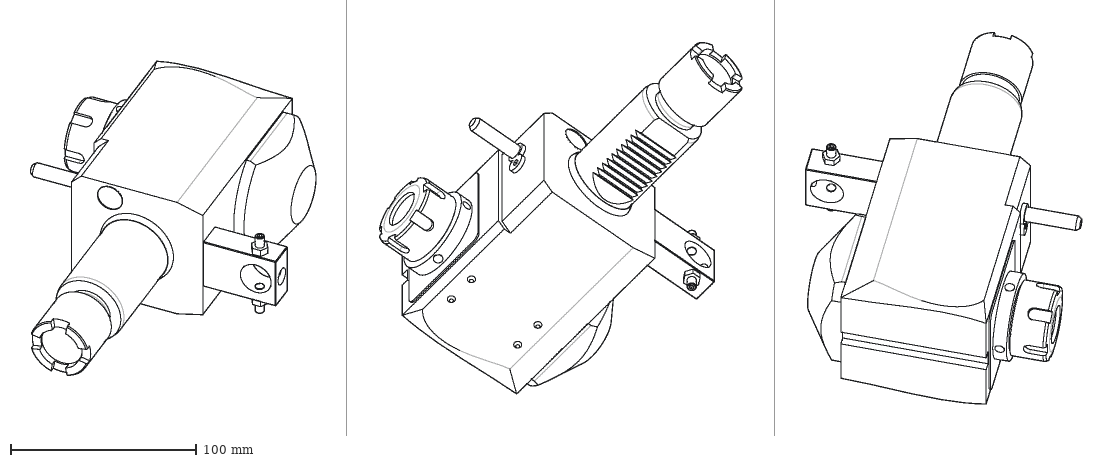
import cadquery as cq
import math


HALF_HEIGHT = 37.5
LENGTH = 116.0
RIGHT_X = 39.0
REAR_LEFT_X = -41.5
FRONT_LEFT_X = -38.8
STEP_Y = 35.2
REAR_CHAMFER = 4.1
FRONT_CHAMFER = 5.9
BEVEL_RUN = 15.2
BEVEL_DROP = 4.1

CROWN_RUN = 12.4
CROWN_SHAPE = ((-8.5, 2.8), (-24.5, 2.5))

REAR_SLOT_WIDTH = 9.8
REAR_SLOT_DEPTH = 4.3
MARK_X = -16.0
MARK_Z = 28.0
MARK_RADIUS = 7.4
MARK_DEPTH = 0.7

SPINDLE_Y = 80.3
PLATE_X = -42.3
PLATE_LENGTH = 58.0
PLATE_HEIGHT = 63.0
PLATE_CORNER = 4.3
RING_RADIUS = 24.0
RING_X = -50.0
NUT_BACK_X = -51.0
NUT_RADIUS = 20.8
NUT_FACE_X = -71.6
NUT_FACE_RADIUS = 15.0
NUT_CONE_RADIUS = 20.2
NUT_CONE_DEPTH = 0.9
NUT_CHAMFER_DEPTH = 2.4
NECK_RADIUS = 18.5
BORE_RADIUS = 10.5
BORE_DEPTH = 2.2
NUT_SLOT_COUNT = 6
NUT_SLOT_WIDTH = 6.5
NUT_SLOT_FLOOR = 17.8
NUT_SLOT_END_X = -58.5
RING_DIMPLE_COUNT = 4
RING_DIMPLE_RADIUS = 2.5

CAP_RADIUS = 40.1
CAP_CONE_X = 45.1
CAP_END_X = 62.0
CAP_END_RADIUS = 16.3
CAP_HALF_HEIGHT = 32.3
CAP_REAR_Y = 112.0
CAP_SLOPE_X = 41.5
CAP_SLOPE = 0.22

COLLAR_RADIUS = 21.7
COLLAR_MIDDLE_RADIUS = 21.3
COLLAR_END_RADIUS = 20.2
COLLAR_LENGTH = 3.7
SHANK_RADIUS = 20.0
SHANK_LENGTH = 63.0
SHANK_CHAMFER_LENGTH = 2.5
SHANK_CHAMFER = 0.7
COUPLING_NECK_RADIUS = 13.0
FLARE_START = 65.0
FLARE_END = 71.0
FLARE_RADIUS = 16.0
COUPLING_RADIUS = 17.4
COUPLING_END = 101.0
COUPLING_CHAMFER = 0.7
SOCKET_RADIUS = 12.2
SOCKET_DEPTH = 4.3
DRIVE_SLOT_DEPTH = 3.3
DRIVE_SLOT_COUNT = 4
DRIVE_SLOT_OUTER_WIDTH = 10.0
DRIVE_SLOT_INNER_WIDTH = 8.0

RACK_Z = -16.3
RACK_ROOT_Z = -14.0
RACK_FIRST_Y = -11.5
RACK_RAMP_Y = -5.0
RACK_LENGTH = 36.0
RACK_GROOVE_COUNT = 10
RACK_GROOVE_HALF_WIDTH = 1.63

ARM_END_X = 82.0
ARM_HALF_HEIGHT = 15.0
ARM_Y = 0.9
ARM_THICKNESS = 15.5
ARM_CHAMFER = 0.5
ARM_HOLE_X = 70.0
ARM_HOLE_RADIUS = 9.1
ARM_END_HOLE_RADIUS = 4.8
ARM_BOLT_Y = 6.0
ARM_BOLT_DIAMETER = 5.0
ARM_BOLT_START_Z = 8.5
ARM_BOLT_END_Z = 25.4
ARM_BOLT_CHAMFER = 0.5
ARM_NUT_CORNERS = 9.5
ARM_NUT_HEIGHT = 4.0
ARM_BOLT_SOCKET = 2.5
ARM_BOLT_SOCKET_DEPTH = 1.7

PIN_Y = 21.0
PIN_Z = 16.0
PIN_DIAMETER = 8.0
PIN_END_X = -71.6
PIN_TIP_LENGTH = 2.0
PIN_TIP_RADIUS = 2.5
PIN_COLLAR_RADIUS = 5.6
SCREW_Z = 6.3
SCREW_RADIUS = 5.2
HEAD_HEIGHT = 2.4
SCREW_SOCKET = 3.7
SCREW_SOCKET_DEPTH = 1.7

PLUG_XS = (-29.7, 17.0)
PLUG_OFFSET_Y = 8.5
PLUG_RADIUS = 2.2
PLUG_TIP_RADIUS = 1.0
PLUG_END_Z = -39.0


def box(x_range, y_range, z_range):
    """Box between the given limits."""
    corner = (min(x_range), min(y_range), min(z_range))
    sizes = [max(limits) - min(limits) for limits in (x_range, y_range, z_range)]
    return cq.Workplane("XY").box(*sizes, centered=False).translate(corner)


def x_cylinder(radius, x_start, x_end, y, z):
    """Cylinder along X."""
    return cq.Workplane("YZ", origin=(x_start, y, z)).circle(radius).extrude(x_end - x_start)


def mirrored_pair(solid):
    """The solid together with its mirror image below Z = 0."""
    return solid.union(solid.mirror("XY"))


def block(left_x, left_chamfer, y_start, y_end):
    """Length of housing with left chamfers and the long bevels on the right."""
    upper_outline = [
        (left_x, HALF_HEIGHT - left_chamfer),
        (left_x + left_chamfer, HALF_HEIGHT),
        (RIGHT_X - BEVEL_RUN, HALF_HEIGHT),
        (RIGHT_X, HALF_HEIGHT - BEVEL_DROP),
    ]
    lower_outline = [(x, -z) for x, z in reversed(upper_outline)]
    profile = cq.Workplane("XZ", origin=(0, y_end, 0)).polyline(upper_outline + lower_outline)
    return profile.close().extrude(y_end - y_start)


def crown_wire(y, base_z, left_x, right_x):
    """Section of the waste above the crown, curved along its lower edge."""
    waste_z = base_z + HALF_HEIGHT
    crown_points = [(x, base_z + rise) for x, rise in CROWN_SHAPE]
    return (
        cq.Workplane("XZ", origin=(0, y, 0))
        .moveTo(right_x, base_z)
        .spline(crown_points + [(left_x, base_z)], includeCurrent=True)
        .lineTo(left_x, waste_z)
        .lineTo(right_x, waste_z)
        .close()
        .val()
    )


def crown_cut():
    """Waste above the curved slope at the rear end of the top face."""
    rear_wire = crown_wire(LENGTH, HALF_HEIGHT - BEVEL_DROP, REAR_LEFT_X, RIGHT_X)
    front_wire = crown_wire(
        LENGTH - CROWN_RUN,
        HALF_HEIGHT,
        REAR_LEFT_X + REAR_CHAMFER,
        RIGHT_X - BEVEL_RUN,
    )
    return cq.Workplane(cq.Solid.makeLoft([rear_wire, front_wire], True))


def housing():
    rear = block(REAR_LEFT_X, REAR_CHAMFER, STEP_Y, LENGTH).cut(mirrored_pair(crown_cut()))
    body = rear.union(block(FRONT_LEFT_X, FRONT_CHAMFER, 0, STEP_Y))
    slot = box(
        (REAR_LEFT_X, RIGHT_X),
        (LENGTH - REAR_SLOT_DEPTH, LENGTH),
        (-REAR_SLOT_WIDTH / 2, REAR_SLOT_WIDTH / 2),
    )
    mark = cq.Workplane("XZ", origin=(MARK_X, 0, MARK_Z)).circle(MARK_RADIUS).extrude(-MARK_DEPTH)
    return body.cut(slot).cut(mark)


def cover_plate():
    return (
        cq.Workplane("YZ", origin=(PLATE_X, SPINDLE_Y, 0))
        .rect(PLATE_LENGTH, PLATE_HEIGHT)
        .extrude(REAR_LEFT_X - PLATE_X)
        .edges("|X")
        .fillet(PLATE_CORNER)
    )


def nut_slot():
    """Wrench slot on the +Y side of the nut, with a rounded inner end."""
    half_width = NUT_SLOT_WIDTH / 2
    arc_x = NUT_SLOT_END_X - half_width
    return (
        cq.Workplane("XZ", origin=(0, RING_RADIUS, 0))
        .moveTo(NUT_FACE_X, -half_width)
        .lineTo(arc_x, -half_width)
        .threePointArc((NUT_SLOT_END_X, 0), (arc_x, half_width))
        .lineTo(NUT_FACE_X, half_width)
        .close()
        .extrude(RING_RADIUS - NUT_SLOT_FLOOR)
    )


def spindle():
    half_section = [
        (REAR_LEFT_X, 0),
        (REAR_LEFT_X, RING_RADIUS),
        (RING_X, RING_RADIUS),
        (RING_X, NECK_RADIUS),
        (NUT_BACK_X, NECK_RADIUS),
        (NUT_BACK_X, NUT_RADIUS),
        (NUT_FACE_X + NUT_CHAMFER_DEPTH, NUT_RADIUS),
        (NUT_FACE_X + NUT_CONE_DEPTH, NUT_CONE_RADIUS),
        (NUT_FACE_X, NUT_FACE_RADIUS),
        (NUT_FACE_X, BORE_RADIUS),
        (NUT_FACE_X + BORE_DEPTH, BORE_RADIUS),
        (NUT_FACE_X + BORE_DEPTH, 0),
    ]
    body = cq.Workplane("XY").polyline(half_section).close().revolve(360, (0, 0), (1, 0))
    slot = nut_slot()
    for index in range(NUT_SLOT_COUNT):
        body = body.cut(slot.rotate((0, 0, 0), (1, 0, 0), index * 360 / NUT_SLOT_COUNT))
    dimple_x = (RING_X + PLATE_X) / 2
    dimple = cq.Workplane("XY", origin=(dimple_x, 0, RING_RADIUS)).sphere(RING_DIMPLE_RADIUS)
    for index in range(RING_DIMPLE_COUNT):
        body = body.cut(dimple.rotate((0, 0, 0), (1, 0, 0), index * 360 / RING_DIMPLE_COUNT))
    return body.translate((0, SPINDLE_Y, 0))


def bearing_cap():
    """Conical cap, flat at the rear and flattened with a slope above and below."""
    half_section = [
        (RIGHT_X, 0),
        (RIGHT_X, CAP_RADIUS),
        (CAP_CONE_X, CAP_RADIUS),
        (CAP_END_X, CAP_END_RADIUS),
        (CAP_END_X, 0),
    ]
    cone = cq.Workplane("XY").polyline(half_section).close().revolve(360, (0, 0), (1, 0))
    end_half_height = CAP_HALF_HEIGHT - CAP_SLOPE * (CAP_END_X - CAP_SLOPE_X)
    upper_outline = [
        (RIGHT_X, CAP_HALF_HEIGHT),
        (CAP_SLOPE_X, CAP_HALF_HEIGHT),
        (CAP_END_X, end_half_height),
    ]
    lower_outline = [(x, -z) for x, z in reversed(upper_outline)]
    envelope = (
        cq.Workplane("XZ", origin=(0, CAP_REAR_Y, 0))
        .polyline(upper_outline + lower_outline)
        .close()
        .extrude(CAP_REAR_Y)
    )
    return cone.translate((0, SPINDLE_Y, 0)).intersect(envelope)


def rack_cut():
    """Ramp, flat and V grooves removed from the underside of the shank."""
    waste_z = -COLLAR_RADIUS
    groove_profile = [
        (RACK_FIRST_Y - RACK_GROOVE_HALF_WIDTH, RACK_Z),
        (RACK_FIRST_Y, RACK_ROOT_Z),
        (RACK_FIRST_Y + RACK_GROOVE_HALF_WIDTH, RACK_Z),
    ]
    flat_profile = [
        (RACK_RAMP_Y, waste_z),
        (RACK_RAMP_Y, -SHANK_RADIUS),
        (RACK_FIRST_Y, RACK_ROOT_Z),
        (RACK_FIRST_Y - RACK_GROOVE_HALF_WIDTH, RACK_Z),
        (-SHANK_LENGTH, RACK_Z),
        (-SHANK_LENGTH, waste_z),
    ]
    plane = cq.Workplane("YZ")
    cut = plane.polyline(flat_profile).close().extrude(SHANK_RADIUS, both=True)
    groove = plane.polyline(groove_profile).close().extrude(SHANK_RADIUS, both=True)
    pitch = RACK_LENGTH / (RACK_GROOVE_COUNT - 1)
    for index in range(1, RACK_GROOVE_COUNT):
        cut = cut.union(groove.translate((0, -index * pitch, 0)))
    return cut


def shank():
    """Shank and coupling, turned about Y."""
    collar_middle = (COLLAR_MIDDLE_RADIUS, -COLLAR_LENGTH / 2)
    body = (
        cq.Workplane("XY")
        .lineTo(COLLAR_RADIUS, 0)
        .threePointArc(collar_middle, (COLLAR_END_RADIUS, -COLLAR_LENGTH))
        .lineTo(SHANK_RADIUS, -COLLAR_LENGTH)
        .lineTo(SHANK_RADIUS, -SHANK_LENGTH + SHANK_CHAMFER_LENGTH)
        .lineTo(SHANK_RADIUS - SHANK_CHAMFER, -SHANK_LENGTH)
        .lineTo(COUPLING_NECK_RADIUS, -SHANK_LENGTH)
        .lineTo(COUPLING_NECK_RADIUS, -FLARE_START)
        .tangentArcPoint((FLARE_RADIUS, -FLARE_END), relative=False)
        .lineTo(COUPLING_RADIUS, -FLARE_END)
        .lineTo(COUPLING_RADIUS, -COUPLING_END + COUPLING_CHAMFER)
        .lineTo(COUPLING_RADIUS - COUPLING_CHAMFER, -COUPLING_END)
        .lineTo(0, -COUPLING_END)
        .close()
        .revolve(360, (0, 0), (0, 1))
    )
    end_plane = cq.Workplane("XZ", origin=(0, -COUPLING_END, 0))
    socket = end_plane.circle(SOCKET_RADIUS).extrude(-SOCKET_DEPTH)
    drive_slot = (
        end_plane.moveTo(0, -DRIVE_SLOT_INNER_WIDTH / 2)
        .lineTo(SOCKET_RADIUS, -DRIVE_SLOT_INNER_WIDTH / 2)
        .lineTo(COUPLING_RADIUS, -DRIVE_SLOT_OUTER_WIDTH / 2)
        .lineTo(COUPLING_RADIUS, DRIVE_SLOT_OUTER_WIDTH / 2)
        .lineTo(SOCKET_RADIUS, DRIVE_SLOT_INNER_WIDTH / 2)
        .lineTo(0, DRIVE_SLOT_INNER_WIDTH / 2)
        .close()
        .extrude(-DRIVE_SLOT_DEPTH)
    )
    body = body.cut(rack_cut()).cut(socket)
    for index in range(DRIVE_SLOT_COUNT):
        body = body.cut(drive_slot.rotate((0, 0, 0), (0, 1, 0), index * 360 / DRIVE_SLOT_COUNT))
    return body


def arm_bolt():
    """Upper half of the clamping bolt with its hexagon nut."""
    bolt = (
        cq.Workplane("XY", origin=(ARM_HOLE_X, ARM_BOLT_Y, ARM_BOLT_START_Z))
        .circle(ARM_BOLT_DIAMETER / 2)
        .extrude(ARM_BOLT_END_Z - ARM_BOLT_START_Z)
        .faces(">Z")
        .chamfer(ARM_BOLT_CHAMFER)
    )
    nut = (
        cq.Workplane("XY", origin=(ARM_HOLE_X, ARM_BOLT_Y, ARM_HALF_HEIGHT))
        .polygon(6, ARM_NUT_CORNERS)
        .extrude(ARM_NUT_HEIGHT)
    )
    socket = (
        cq.Workplane("XY", origin=(ARM_HOLE_X, ARM_BOLT_Y, ARM_BOLT_END_Z))
        .polygon(6, ARM_BOLT_SOCKET)
        .extrude(-ARM_BOLT_SOCKET_DEPTH)
    )
    return bolt.union(nut).cut(socket)


def coolant_arm():
    bar = box(
        (RIGHT_X, ARM_END_X),
        (ARM_Y, ARM_Y + ARM_THICKNESS),
        (-ARM_HALF_HEIGHT, ARM_HALF_HEIGHT),
    )
    bar = bar.edges("|X or >X").chamfer(ARM_CHAMFER)
    hole = (
        cq.Workplane("XZ", origin=(ARM_HOLE_X, 0, 0))
        .circle(ARM_HOLE_RADIUS)
        .extrude(-ARM_Y - ARM_THICKNESS)
    )
    middle_y = ARM_Y + ARM_THICKNESS / 2
    end_hole = x_cylinder(ARM_END_HOLE_RADIUS, ARM_HOLE_X, ARM_END_X, middle_y, 0)
    return bar.cut(hole).cut(end_hole).union(mirrored_pair(arm_bolt()))


def locating_pin():
    head_x = FRONT_LEFT_X - HEAD_HEIGHT
    half_section = [
        (FRONT_LEFT_X, 0),
        (FRONT_LEFT_X, PIN_COLLAR_RADIUS),
        (head_x, PIN_COLLAR_RADIUS),
        (head_x, PIN_DIAMETER / 2),
        (PIN_END_X + PIN_TIP_LENGTH, PIN_DIAMETER / 2),
        (PIN_END_X, PIN_TIP_RADIUS),
        (PIN_END_X, 0),
    ]
    pin = cq.Workplane("XY").polyline(half_section).close().revolve(360, (0, 0), (1, 0))
    return pin.translate((0, PIN_Y, PIN_Z))


def side_screw():
    head_x = FRONT_LEFT_X - HEAD_HEIGHT
    socket = (
        cq.Workplane("YZ", origin=(head_x, PIN_Y, SCREW_Z))
        .polygon(6, SCREW_SOCKET)
        .extrude(SCREW_SOCKET_DEPTH)
    )
    return x_cylinder(SCREW_RADIUS, head_x, FRONT_LEFT_X, PIN_Y, SCREW_Z).cut(socket)


def bottom_plugs():
    positions = [
        (x, SPINDLE_Y + side * PLUG_OFFSET_Y)
        for x in PLUG_XS
        for side in (-1, 1)
    ]
    drop = -HALF_HEIGHT - PLUG_END_Z
    taper = math.degrees(math.atan((PLUG_RADIUS - PLUG_TIP_RADIUS) / drop))
    return (
        cq.Workplane("XY", origin=(0, 0, -HALF_HEIGHT))
        .pushPoints(positions)
        .circle(PLUG_RADIUS)
        .extrude(-drop, taper=taper)
    )


result = (
    housing()
    .union(cover_plate())
    .union(spindle())
    .union(bearing_cap())
    .union(shank())
    .union(coolant_arm())
    .union(locating_pin())
    .union(side_screw())
    .union(bottom_plugs())
    .solids()
)